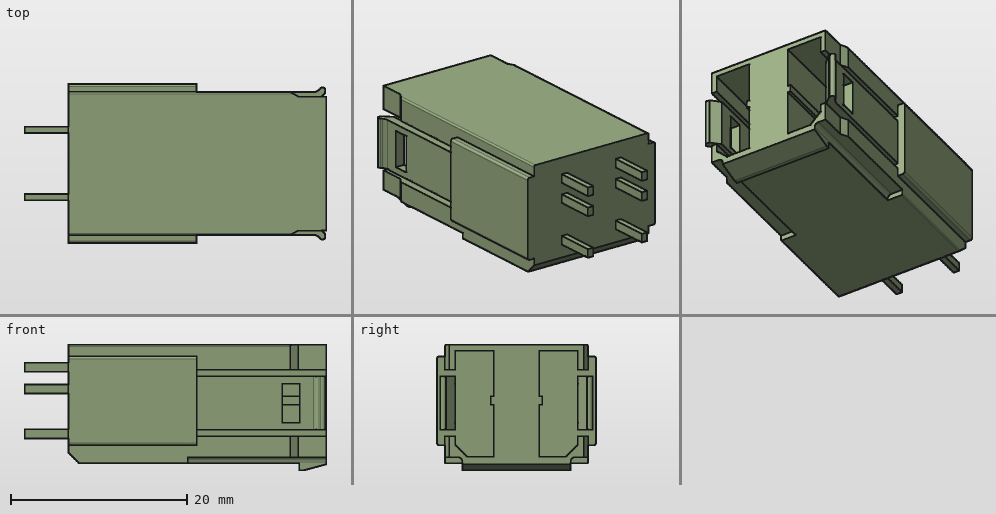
import cadquery as cq
import math


length = 34.25
overall_height = 14.28
overall_width = 18.05

housing_start = 4.95
housing_width = 16.25
housing_height = 13.5
top_edge_radius = 0.2
bottom_edge_radius = 0.15
front_chamfer_run = 1.25
front_chamfer_rise = 1.25

taper_start = 30.15
taper_end = 31.05
mating_width = 15.2

panel_end = 19.52
panel_top_depth = 1.35
panel_bottom_depth = 11.45
panel_edge_radius = 0.27

plate_start = 18.53
plate_width = 12.3
plate_thickness = 0.72
plate_root_radius = 0.5
hook_start = 31.17
hook_flat = 0.5
hook_tip_drop = 0.1

top_wall = 0.72
cavity_bottom_depth = 12.75
cavity_corner_chamfer = 1.37
web_width = 5.15
rib_width = 5.82
rib_top_depth = 5.9
rib_bottom_depth = 6.8

latch_thickness = 1.15
latch_top_depth = 3.6
latch_bottom_depth = 9.65
latch_gap = 0.72
latch_root_overlap = 0.7
window_start = 29.25
window_end = 31.2
window_top_depth = 4.42
window_bottom_depth = 8.87

lip_tip_x = 33.8
lip_tip_y = 8.3
lip_tip_radius = 0.35
lip_thickness = 0.8
lip_angle = math.radians(45)
lip_bend_radius = 0.9

pin_width = 0.75
pin_height = 1.05
pin_spacing = 7.65
pin_depths = (2.57, 5.05, 10.15)

cavity_width = housing_width - 2 * latch_thickness


def block(x_range, y_range, depth_range):
    """Box spanning the given X and Y ranges and depths below the top face."""
    x0, x1 = x_range
    y0, y1 = y_range
    d0, d1 = depth_range
    return cq.Workplane("XY").box(x1 - x0, y1 - y0, d1 - d0, centered=False).translate((x0, y0, -d1))


def centered_block(x_range, width, depth_range):
    return block(x_range, (-width / 2, width / 2), depth_range)


def both_sides(shape):
    """The shape on the -Y side together with its mirror image."""
    return shape.union(shape.mirror("XZ"))


def make_housing():
    housing = centered_block((housing_start, length), housing_width, (0, housing_height))
    housing = housing.edges("|X and >Z").fillet(top_edge_radius)
    housing = housing.edges("|X and <Z").fillet(bottom_edge_radius)
    front_chamfer = (
        cq.Workplane("XZ")
        .moveTo(housing_start, -housing_height)
        .lineTo(housing_start + front_chamfer_run, -housing_height)
        .lineTo(housing_start, -housing_height + front_chamfer_rise)
        .close()
        .extrude(housing_width / 2, both=True)
    )
    return housing.cut(front_chamfer)


def make_end_taper():
    """Material removed from the -Y side to narrow the mating end."""
    return (
        cq.Workplane("XY")
        .moveTo(taper_start, -housing_width / 2)
        .lineTo(taper_end, -mating_width / 2)
        .lineTo(length, -mating_width / 2)
        .lineTo(length, -housing_width / 2)
        .close()
        .extrude(-housing_height)
    )


def make_panels():
    panels = centered_block(
        (housing_start, panel_end), overall_width, (panel_top_depth, panel_bottom_depth)
    )
    return panels.edges("|X").fillet(panel_edge_radius)


def make_underside_recess():
    """Recess beside the bottom plate on -Y, with a rounded inner corner."""
    recess = block(
        (plate_start, length),
        (-housing_width / 2, -plate_width / 2),
        (housing_height - plate_thickness, housing_height),
    )
    return recess.edges("|X and >Y and >Z").fillet(plate_root_radius)


def make_hook():
    return (
        cq.Workplane("XZ")
        .moveTo(hook_start, -housing_height)
        .lineTo(hook_start, -overall_height)
        .lineTo(hook_start + hook_flat, -overall_height)
        .lineTo(length, -housing_height - hook_tip_drop)
        .lineTo(length, -housing_height)
        .close()
        .extrude(plate_width / 2, both=True)
    )


def make_cavity():
    cavity = centered_block((panel_end, length), cavity_width, (top_wall, cavity_bottom_depth))
    cavity = cavity.edges("|X and <Z").chamfer(cavity_corner_chamfer)
    web = centered_block((panel_end, length), web_width, (top_wall, cavity_bottom_depth))
    rib = centered_block((panel_end, length), rib_width, (rib_top_depth, rib_bottom_depth))
    return cavity.cut(web).cut(rib)


def make_latch_opening():
    """Opening in the -Y wall that leaves a gap above and below the latch."""
    return block(
        (panel_end, length),
        (-housing_width / 2, -cavity_width / 2),
        (latch_top_depth - latch_gap, latch_bottom_depth + latch_gap),
    )


def make_latch():
    """Latch on the -Y side: a straight arm with a lip flared out at 45 degrees."""
    outer_y = housing_width / 2
    inner_y = cavity_width / 2
    root_x = panel_end - latch_root_overlap
    half_bend = lip_angle / 2
    diagonal = math.sin(lip_angle)
    reach = lip_tip_radius * diagonal

    lip_outer_x = lip_tip_x - reach
    lip_outer_y = lip_tip_y + reach
    bend_x = lip_outer_x - (lip_outer_y - outer_y)
    bend_length = lip_bend_radius * math.tan(half_bend)
    bend_start_x = bend_x - bend_length
    bend_end_x = bend_x + bend_length * diagonal
    bend_end_y = outer_y + bend_length * diagonal
    bend_middle_x = bend_start_x + lip_bend_radius * math.sin(half_bend)
    bend_middle_y = outer_y + lip_bend_radius * (1 - math.cos(half_bend))

    lip_inner_x = lip_outer_x + lip_thickness * diagonal
    lip_inner_y = lip_outer_y - lip_thickness * diagonal
    lip_root_x = lip_inner_x - (lip_inner_y - inner_y)

    latch = (
        cq.Workplane("XY")
        .workplane(offset=-latch_bottom_depth)
        .moveTo(root_x, -inner_y)
        .lineTo(root_x, -outer_y)
        .lineTo(bend_start_x, -outer_y)
        .threePointArc((bend_middle_x, -bend_middle_y), (bend_end_x, -bend_end_y))
        .lineTo(lip_outer_x, -lip_outer_y)
        .threePointArc((lip_tip_x + reach, -lip_tip_y - reach), (lip_tip_x + reach, -lip_tip_y + reach))
        .lineTo(lip_inner_x, -lip_inner_y)
        .lineTo(lip_root_x, -inner_y)
        .close()
        .extrude(latch_bottom_depth - latch_top_depth)
    )
    window = block(
        (window_start, window_end), (-outer_y, -inner_y), (window_top_depth, window_bottom_depth)
    )
    return latch.cut(window)


def make_pins():
    pins = cq.Workplane("XY")
    for depth in pin_depths:
        for y in (-pin_spacing / 2, pin_spacing / 2):
            pin = block(
                (0, housing_start),
                (y - pin_width / 2, y + pin_width / 2),
                (depth - pin_height / 2, depth + pin_height / 2),
            )
            pins = pins.add(pin)
    return pins.combine()


result = (
    make_housing()
    .cut(both_sides(make_end_taper()))
    .cut(both_sides(make_underside_recess()))
    .union(make_panels())
    .cut(make_cavity())
    .cut(both_sides(make_latch_opening()))
    .union(both_sides(make_latch()))
    .union(make_hook())
    .union(make_pins())
)